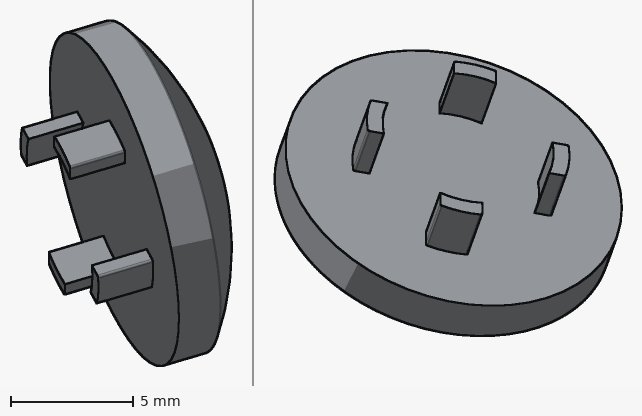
import cadquery as cq

disc_radius = 7.1
rim_depth = 1.85
dome_height = 2.44
rim_edge_radius = 0.07
leg_length = 2.41
leg_outer_radius = 4.27
leg_inner_radius = 3.6
leg_short_side = 0.6
leg_long_side = 1.18
leg_corner_radius = 0.1
leg_count = 4

dome_radius = (disc_radius**2 + dome_height**2) / (2 * dome_height)


def make_cap():
    """Disc with a spherical dome, revolved about the Y axis."""
    cap = (
        cq.Workplane("XY")
        .lineTo(disc_radius, 0)
        .lineTo(disc_radius, rim_depth)
        .radiusArc((0, rim_depth + dome_height), -dome_radius)
        .close()
        .revolve(360, (0, 0, 0), (0, 1, 0))
    )
    dome_base = cq.selectors.NearestToPointSelector((0, rim_depth, 0))
    return cap.edges("%CIRCLE").edges(dome_base).fillet(rim_edge_radius)


def make_leg():
    """Upper leg: a ring segment trimmed by two parallel planes, outer corners rounded."""
    leg_depth = leg_length + rim_depth / 2
    ring = (
        cq.Workplane("XZ", origin=(0, rim_depth / 2, 0))
        .circle(leg_outer_radius)
        .circle(leg_inner_radius)
        .extrude(leg_depth)
    )
    trim = (
        cq.Workplane("XZ", origin=(0, rim_depth / 2, 0))
        .moveTo(-leg_short_side, 0)
        .lineTo(leg_long_side, 0)
        .lineTo(leg_long_side, leg_outer_radius)
        .lineTo(-leg_short_side, leg_outer_radius)
        .close()
        .extrude(leg_depth)
    )
    leg = ring.intersect(trim)
    for side in ("<X", ">X"):
        leg = leg.faces(side).edges(">Z").fillet(leg_corner_radius)
    return leg


result = make_cap()
leg = make_leg()
for index in range(leg_count):
    angle = index * 360 / leg_count
    result = result.union(leg.rotate((0, 0, 0), (0, 1, 0), angle))